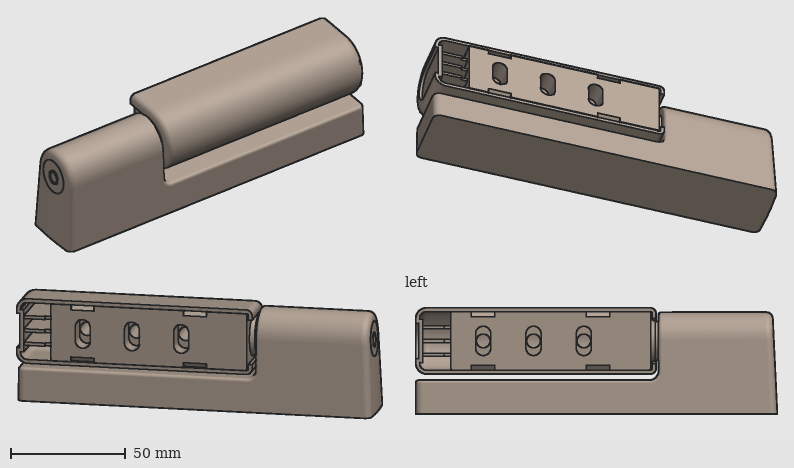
import cadquery as cq
import math

FAR = 94.8

BASE_LENGTH = 158.0
BASE_AXIS_Z = 32.0
BASE_ARCH_RADIUS = 12.5
BASE_FOOT_WIDTH = 28.1
ARM_HEIGHT = 14.8
STEP_Y = 52.0
STEP_ROOT_RADIUS = 4.0
RIM_RADIUS = 1.5
END_RADIUS = 3.0
FRONT_DRAFT = 2.7
STRIP_FOOT_HALF_WIDTH = 2.8
STRIP_FLARE = 0.04
SIDE_FACET_ANGLE = 2.5

PLUG_RADIUS = 7.7
PLUG_DEPTH = 6.3
PLUG_AXIS_Z = 32.5
DIAL_RADIUS = 3.2
DIAL_GROOVE_WIDTH = 0.6
DIAL_GROOVE_DEPTH = 0.5

SHELL_AXIS_Z = 31.9
SHELL_RADIUS = 14.5
SHELL_OPEN_X = -15.2
SHELL_FRONT_Y = 52.9
SHELL_BACK_Y = BASE_LENGTH
SHELL_WALL = 1.7
SHELL_FRONT_RADIUS = 2.7
SHELL_BACK_RADIUS = 4.9
SHELL_MOUTH_RADIUS = 10.0
RECESS_RADIUS = 7.7
RECESS_DEPTH = 1.5
CAVITY_RADIUS = SHELL_RADIUS - SHELL_WALL
CAVITY_FRONT_Y = SHELL_FRONT_Y + SHELL_WALL
CAVITY_BACK_Y = SHELL_BACK_Y - SHELL_WALL

INSERT_FACE_X = -15.5
INSERT_FRONT_Y = 55.3
INSERT_BACK_Y = 142.6
INSERT_CHAMFER = 0.5
SLOT_WIDTH = 6.6
SLOT_HEIGHT = 12.8
SLOT_DEPTH = 9.5
SCREW_HOLE_RADIUS = 3.0
SLOT_MIDDLE_Y = 106.5
SLOT_PITCH = 22.0
NOTCH_SIZE = 2.2
NOTCH_LENGTH = 10.3
NOTCH_STARTS_Y = (73.3, 123.4)

RIB_THICKNESS = 1.5
RIB_PITCH = 6.0
RIB_EDGE_X = -14.2
RIB_STEP_Y = 145.5
RIB_STEP_DEPTH = 1.0

PIVOT_LARGE_RADIUS = 9.6
PIVOT_SMALL_RADIUS = 8.5
PIVOT_CONE_LENGTH = 2.0


def along_y(start_y):
    """Sketch plane at start_y: local x is X, local y is Z, and -distance extrudes toward +Y."""
    return cq.Workplane("XZ", origin=(0, start_y, 0))


def rod(radius, axis_z, start_y, end_y):
    return along_y(start_y).center(0, axis_z).circle(radius).extrude(start_y - end_y)


def block(x_range, y_range, z_range):
    sizes = [high - low for low, high in (x_range, y_range, z_range)]
    corner = (x_range[0], y_range[0], z_range[0])
    return cq.Workplane("XY").box(*sizes, centered=False).translate(corner)


def d_prism(radius, flat_x, start_y, end_y):
    """Prism along Y: flat on the -X side, half-round about the shell axis on the +X side."""
    return (
        along_y(start_y)
        .moveTo(flat_x, SHELL_AXIS_Z - radius)
        .lineTo(0, SHELL_AXIS_Z - radius)
        .threePointArc((radius, SHELL_AXIS_Z), (0, SHELL_AXIS_Z + radius))
        .lineTo(flat_x, SHELL_AXIS_Z + radius)
        .close()
        .extrude(start_y - end_y)
    )


def u_prism(radius, start_y, end_y):
    """U-shaped prism about the shell axis, open toward -X."""
    return d_prism(radius, -FAR, start_y, end_y)


def front_of_plane(origin, normal):
    """Large block on the outer side of a front facet."""
    plane = cq.Plane(origin=origin, xDir=normal.cross(cq.Vector(0, 0, 1)), normal=normal)
    return cq.Workplane(plane).rect(2 * FAR, 2 * FAR).extrude(FAR)


DRAFT_SLOPE = math.tan(math.radians(FRONT_DRAFT))
STRIP_NORMAL = cq.Vector(0, -1, DRAFT_SLOPE)


def cut_front_facets(body):
    body = body.cut(front_of_plane((0, 0, 0), STRIP_NORMAL))
    for side in (-1, 1):
        seam = cq.Vector(side * STRIP_FLARE, DRAFT_SLOPE, 1)
        across = cq.Vector(side, math.tan(math.radians(SIDE_FACET_ANGLE)), 0)
        normal = seam.cross(across) * -side
        body = body.cut(front_of_plane((side * STRIP_FOOT_HALF_WIDTH, 0, 0), normal))
    return body


def front_border(edge):
    """True for the edges around the front face, but not its foot or the seams of the strip."""
    middle = edge.Center()
    is_seam = abs(middle.x) < BASE_ARCH_RADIUS / 2 and middle.z < BASE_AXIS_Z
    return middle.y < END_RADIUS and middle.z > END_RADIUS and not is_seam


def step_rim(edge):
    """True for the edges bordering the arm top, the step wall and the round between them."""
    middle = edge.Center()
    on_step = middle.y > STEP_Y - RIM_RADIUS and middle.z > ARM_HEIGHT - RIM_RADIUS
    crosses_inside = abs(middle.x) < RIM_RADIUS and middle.z < BASE_AXIS_Z and middle.y < BASE_LENGTH / 2
    return on_step and not crosses_inside


def fillet_where(body, wanted, radius):
    edges = [edge for edge in body.edges().vals() if wanted(edge)]
    return body.newObject(edges).fillet(radius)


def make_base():
    foot = BASE_FOOT_WIDTH / 2
    foot_distance = math.hypot(foot, BASE_AXIS_Z)
    tangent_angle = math.acos(BASE_ARCH_RADIUS / foot_distance) - math.atan2(BASE_AXIS_Z, foot)
    tangent_x = BASE_ARCH_RADIUS * math.cos(tangent_angle)
    tangent_z = BASE_AXIS_Z + BASE_ARCH_RADIUS * math.sin(tangent_angle)
    body = (
        along_y(0)
        .moveTo(-foot, 0)
        .lineTo(foot, 0)
        .lineTo(tangent_x, tangent_z)
        .threePointArc((0, BASE_AXIS_Z + BASE_ARCH_RADIUS), (-tangent_x, tangent_z))
        .close()
        .extrude(-BASE_LENGTH)
    )
    space_above_arm = block((-FAR, FAR), (STEP_Y, 2 * FAR), (ARM_HEIGHT, FAR))
    body = body.cut(space_above_arm.edges("<Y and <Z").fillet(STEP_ROOT_RADIUS))
    body = cut_front_facets(body)
    body = fillet_where(body, front_border, END_RADIUS)
    body = body.faces(">Y").edges("not #Z").fillet(END_RADIUS)
    body = fillet_where(body, step_rim, RIM_RADIUS)
    return body.cut(rod(PLUG_RADIUS, PLUG_AXIS_Z, -PLUG_DEPTH, PLUG_DEPTH))


def make_end_plug():
    plug = rod(PLUG_RADIUS, PLUG_AXIS_Z, 0, PLUG_DEPTH).cut(front_of_plane((0, 0, 0), STRIP_NORMAL))
    face_y = BASE_AXIS_Z * DRAFT_SLOPE
    groove_floor_y = face_y + DIAL_GROOVE_DEPTH
    groove = rod(DIAL_RADIUS, BASE_AXIS_Z, 0, groove_floor_y)
    groove = groove.cut(rod(DIAL_RADIUS - DIAL_GROOVE_WIDTH, BASE_AXIS_Z, 0, groove_floor_y))
    return plug.cut(groove)


def make_pivot():
    return (
        cq.Workplane("XY")
        .moveTo(0, STEP_Y)
        .lineTo(PIVOT_SMALL_RADIUS, STEP_Y)
        .lineTo(PIVOT_SMALL_RADIUS, INSERT_FRONT_Y - PIVOT_CONE_LENGTH)
        .lineTo(PIVOT_LARGE_RADIUS, INSERT_FRONT_Y)
        .lineTo(0, INSERT_FRONT_Y)
        .close()
        .revolve(360, (0, 0, 0), (0, 1, 0))
        .translate((0, 0, SHELL_AXIS_Z))
    )


def shell_cavity(back_y):
    cavity = d_prism(CAVITY_RADIUS, -FAR, CAVITY_FRONT_Y, back_y)
    cavity = cavity.faces("<Y").edges("not <X").fillet(SHELL_FRONT_RADIUS - SHELL_WALL)
    return cavity.faces(">Y").edges("not <X").fillet(SHELL_BACK_RADIUS - SHELL_WALL)


def shell_ribs():
    inner_x = RIB_EDGE_X + RIB_STEP_DEPTH
    room = d_prism(CAVITY_RADIUS + SHELL_WALL / 2, inner_x, INSERT_BACK_Y, CAVITY_BACK_Y)
    ribs = []
    for index in (-1, 0, 1):
        middle_z = SHELL_AXIS_Z + index * RIB_PITCH
        z_range = (middle_z - RIB_THICKNESS / 2, middle_z + RIB_THICKNESS / 2)
        plate = block((inner_x, SHELL_RADIUS), (INSERT_BACK_Y, CAVITY_BACK_Y), z_range).intersect(room)
        ribs.append(plate.union(block((RIB_EDGE_X, inner_x), (RIB_STEP_Y, CAVITY_BACK_Y), z_range)))
    return ribs


def make_shell():
    body = d_prism(SHELL_RADIUS, SHELL_OPEN_X, SHELL_FRONT_Y, SHELL_BACK_Y)
    body = body.faces("<Y").edges("not <X").fillet(SHELL_FRONT_RADIUS)
    body = body.faces(">Y").edges("not <X").fillet(SHELL_BACK_RADIUS)
    step_front_y = CAVITY_BACK_Y - SHELL_BACK_RADIUS
    wall_step = u_prism(RECESS_RADIUS + SHELL_WALL, step_front_y, SHELL_BACK_Y).union(
        block(
            (-FAR, FAR),
            (step_front_y, SHELL_BACK_Y),
            (SHELL_AXIS_Z - RIB_PITCH, SHELL_AXIS_Z + RIB_PITCH),
        )
    )
    cavity = shell_cavity(CAVITY_BACK_Y).cut(wall_step).union(shell_cavity(CAVITY_BACK_Y - RECESS_DEPTH))
    body = body.cut(cavity)
    body = body.cut(u_prism(RECESS_RADIUS, SHELL_BACK_Y - RECESS_DEPTH, SHELL_BACK_Y + RECESS_DEPTH))
    body = body.cut(u_prism(SHELL_MOUTH_RADIUS, SHELL_FRONT_Y - SHELL_WALL, CAVITY_FRONT_Y))
    for rib in shell_ribs():
        body = body.union(rib)
    return body


def insert_slot(middle_y):
    slot = (
        cq.Workplane("YZ", origin=(INSERT_FACE_X, middle_y, SHELL_AXIS_Z))
        .slot2D(SLOT_HEIGHT, SLOT_WIDTH, 90)
        .extrude(SLOT_DEPTH)
    )
    screw_hole = (
        cq.Workplane("YZ", origin=(INSERT_FACE_X, middle_y, SHELL_AXIS_Z))
        .circle(SCREW_HOLE_RADIUS)
        .extrude(FAR)
    )
    return slot.union(screw_hole)


def edge_notch(start_y, side):
    """Wedge taken off the upper (side = 1) or lower (side = -1) edge of the insert face."""
    edge_z = SHELL_AXIS_Z + side * CAVITY_RADIUS
    return (
        along_y(start_y)
        .moveTo(INSERT_FACE_X, edge_z)
        .lineTo(INSERT_FACE_X + NOTCH_SIZE, edge_z)
        .lineTo(INSERT_FACE_X, edge_z - side * NOTCH_SIZE)
        .close()
        .extrude(-NOTCH_LENGTH)
    )


def make_insert():
    body = d_prism(CAVITY_RADIUS, INSERT_FACE_X, INSERT_FRONT_Y, INSERT_BACK_Y)
    body = body.faces("<Y or >Y").edges("not <X").chamfer(INSERT_CHAMFER)
    for index in (-1, 0, 1):
        body = body.cut(insert_slot(SLOT_MIDDLE_Y + index * SLOT_PITCH))
    for start_y in NOTCH_STARTS_Y:
        for side in (-1, 1):
            body = body.cut(edge_notch(start_y, side))
    return body


base = make_base()
end_plug = make_end_plug()
pivot = make_pivot()
shell = make_shell()
insert = make_insert()
bodies = [base, end_plug, pivot, shell, insert]

result = cq.Compound.makeCompound([body.solids().val() for body in bodies])